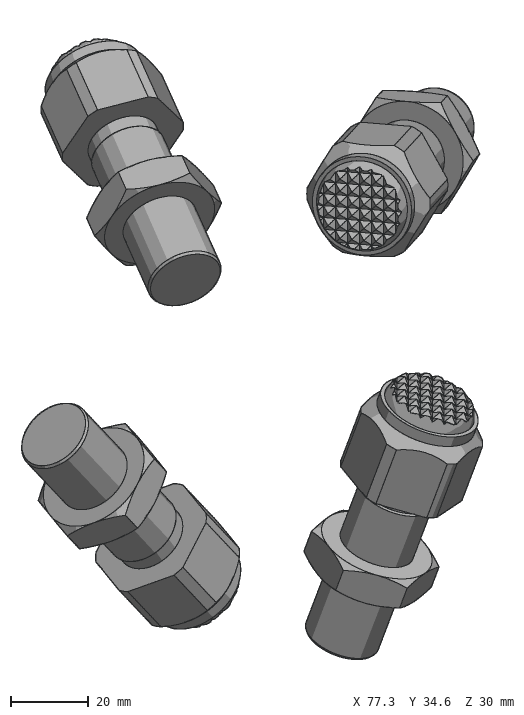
import cadquery as cq
import math


total_length = 77.3
across_flats = 30.0
corner_radius = across_flats / math.sqrt(3)

ball_radius = 12.5
ball_center_x = 7.0
teeth_across = 6
teeth_width = 19.25
tooth_pitch = teeth_width / teeth_across
tooth_depth = tooth_pitch / 2

collar_start_x = 4.0
collar_end_x = 7.0
collar_radius = 26.5 / 2
head_end_x = 27.4
head_radius = 33.0 / 2
cone_end_x = collar_end_x + head_radius - collar_radius

neck_radius = 9.5
shank_radius = 10.0
neck_end_x = 31.1
shank_chamfer = shank_radius - neck_radius
tip_chamfer_length = 0.7

nut_start_x = 47.8
nut_length = 9.0
nut_end_x = nut_start_x + nut_length
nut_face_radius = across_flats / 2
nut_chamfer_angle = 30
nut_chamfer_length = (corner_radius - nut_face_radius) * math.tan(math.radians(nut_chamfer_angle))


def hexagon_bar(start_x, end_x):
    """Hexagonal prism along X with two corners on the Y axis."""
    return (
        cq.Workplane("YZ", origin=(start_x, 0, 0))
        .polygon(6, 2 * corner_radius)
        .extrude(end_x - start_x)
    )


def turned(profile):
    """Solid turned about the X axis from a list of (x, radius) points."""
    start_x = profile[0][0]
    end_x = profile[-1][0]
    outline = [(start_x, 0), *profile, (end_x, 0)]
    return cq.Workplane("XY").polyline(outline).close().revolve(360, (0, 0, 0), (1, 0, 0))


def full_ball():
    """Whole sphere that shapes both the ball and its socket."""
    return cq.Workplane("XY", origin=(ball_center_x, 0, 0)).sphere(ball_radius, direct=(1, 0, 0))


def make_ball():
    """Ball with a flat front face that crossing V grooves divide into pyramid teeth."""
    size = 2 * ball_radius
    behind_tips = cq.Workplane("YZ").rect(size, size).extrude(size)
    ball = full_ball().intersect(behind_tips)

    groove = (
        cq.Workplane("XY")
        .polyline([(0, -tooth_depth), (tooth_depth, 0), (0, tooth_depth)])
        .close()
        .extrude(ball_radius, both=True)
    )
    for index in range(teeth_across + 1):
        offset = index * tooth_pitch - teeth_width / 2
        upright_groove = groove.translate((0, offset, 0))
        level_groove = upright_groove.rotate((0, 0, 0), (1, 0, 0), 90)
        ball = ball.cut(upright_groove).cut(level_groove)
    return ball


def make_screw():
    """Hex head with a ball socket behind a round collar, then a neck and the shank."""
    head_envelope = turned([
        (collar_end_x, collar_radius),
        (cone_end_x, head_radius),
        (head_end_x, head_radius),
    ])
    head = hexagon_bar(collar_end_x, head_end_x).intersect(head_envelope)
    collar = turned([(collar_start_x, collar_radius), (collar_end_x, collar_radius)])
    shank = turned([
        (head_end_x, neck_radius),
        (neck_end_x, neck_radius),
        (neck_end_x + shank_chamfer, shank_radius),
        (total_length - tip_chamfer_length, shank_radius),
        (total_length, neck_radius),
    ])
    return head.union(collar).union(shank).cut(full_ball())


def make_nut():
    """Hex nut, chamfered on both faces, with a plain bore that fits the shank."""
    envelope = turned([
        (nut_start_x, nut_face_radius),
        (nut_start_x + nut_chamfer_length, corner_radius),
        (nut_end_x - nut_chamfer_length, corner_radius),
        (nut_end_x, nut_face_radius),
    ])
    bore = turned([(nut_start_x, shank_radius), (nut_end_x, shank_radius)])
    return hexagon_bar(nut_start_x, nut_end_x).intersect(envelope).cut(bore)


ball = make_ball()
screw = make_screw()
nut = make_nut()

result = cq.Compound.makeCompound([ball.val(), screw.val(), nut.val()])